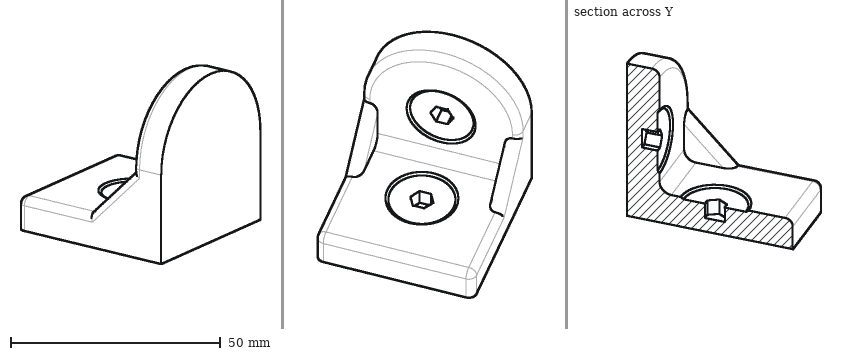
import cadquery as cq
import math


width = 40.0
bolt_distance = 22.5
floor_length = 42.5
plate_thickness = 8.4
edge_radius = 2.0
inner_corner_radius = 3.0

gusset_thickness = 2 * edge_radius
gusset_reach = 29.6
gusset_overrun = 1.5

recess_diameter = 17.4
recess_floor_diameter = 16.0
recess_depth = 0.5
hex_across_flats = 5.0
hex_depth = 4.0


def make_floor():
    """Horizontal plate with rounded front corners and a rounded top rim."""
    plate = cq.Workplane("XY").box(
        floor_length, width, plate_thickness, centered=(False, True, False)
    ).translate((-floor_length, 0, 0))
    plate = plate.edges("|Z and <X").fillet(edge_radius)
    return plate.faces(">Z").edges("not >X").fillet(edge_radius)


def make_wall():
    """Vertical plate with a semicircular top and a rounded front rim."""
    plate = (
        cq.Workplane("YZ")
        .moveTo(-width / 2, 0)
        .lineTo(-width / 2, bolt_distance)
        .threePointArc((0, bolt_distance + width / 2), (width / 2, bolt_distance))
        .lineTo(width / 2, 0)
        .close()
        .extrude(-plate_thickness)
    )
    return plate.faces("<X").edges("not <Z").fillet(edge_radius)


def make_inner_fillet():
    """Concave fillet filling the corner between floor and wall."""
    start = plate_thickness
    end = plate_thickness + inner_corner_radius
    sag = end - inner_corner_radius * math.sqrt(0.5)
    length = width - gusset_thickness
    return (
        cq.Workplane("XZ")
        .moveTo(-start, start)
        .lineTo(-end, start)
        .threePointArc((-sag, sag), (-start, end))
        .close()
        .extrude(length / 2, both=True)
    )


def make_gusset(side):
    """Triangular web on one side (+1 or -1) with a fully rounded sloping top."""
    mid_y = side * (width - gusset_thickness) / 2
    axis_reach = gusset_reach - edge_radius * math.sqrt(2)
    low = plate_thickness - edge_radius
    high = axis_reach - low
    web = (
        cq.Workplane("XZ", origin=(0, mid_y, 0))
        .polyline([(0, 0), (-high, 0), (-high, low), (-low, high), (0, high)])
        .close()
        .extrude(gusset_thickness / 2, both=True)
    )
    round_length = (high - low) * math.sqrt(2) + 2 * gusset_overrun
    overrun_offset = gusset_overrun * math.sqrt(0.5)
    top_round = cq.Solid.makeCylinder(
        edge_radius,
        round_length,
        cq.Vector(-high - overrun_offset, mid_y, low - overrun_offset),
        cq.Vector(1, 0, 1),
    )
    return web.union(cq.Workplane(top_round))


def make_bolt_recess(plane):
    """Conical recess and hexagon socket sunk along the plane's -normal."""
    recess = (
        cq.Workplane(plane)
        .circle(recess_diameter / 2)
        .workplane(offset=-recess_depth)
        .circle(recess_floor_diameter / 2)
        .loft()
    )
    hex_across_corners = hex_across_flats / math.cos(math.pi / 6)
    socket = (
        cq.Workplane(plane)
        .polygon(6, hex_across_corners)
        .extrude(-recess_depth - hex_depth)
    )
    return recess.union(socket)


result = make_floor().union(make_wall()).union(make_inner_fillet())
for side in (-1, 1):
    result = result.union(make_gusset(side))

floor_plane = cq.Plane((-bolt_distance, 0, plate_thickness), xDir=(0, 1, 0), normal=(0, 0, 1))
wall_plane = cq.Plane((-plate_thickness, 0, bolt_distance), xDir=(0, 1, 0), normal=(-1, 0, 0))
for plane in (floor_plane, wall_plane):
    result = result.cut(make_bolt_recess(plane))